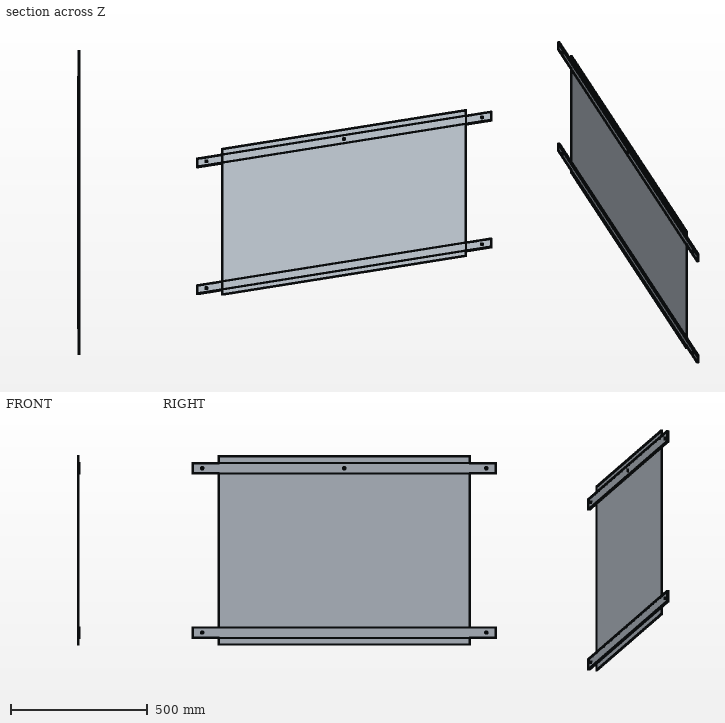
import cadquery as cq

total_thickness = 6.35
strip_length = 1109.37
panel_height = 690.27

panel_thickness = 1.5875
strip_overhang = 95.25
panel_length = strip_length - 2 * strip_overhang

strip_thickness = total_thickness - panel_thickness
strip_height = 38.1
strip_inset = 44.45
strip_center_z = panel_height / 2 - strip_inset
strip_centers_z = (-strip_center_z, strip_center_z)

hole_diameter = 6.35
hole_end_distance = 34.925
end_hole_y = strip_length / 2 - hole_end_distance


def plate(thickness, length, height, x_start, z_center):
    """Upright rectangular plate centred on Y, growing toward +X from x_start."""
    return (
        cq.Workplane("XY")
        .box(thickness, length, height, centered=(False, True, True))
        .translate((x_start, 0, z_center))
    )


def through_hole(y, z):
    """Cylinder along X that passes through the full thickness."""
    return (
        cq.Workplane("YZ")
        .center(y, z)
        .circle(hole_diameter / 2)
        .extrude(total_thickness)
    )


result = plate(panel_thickness, panel_length, panel_height, 0, 0)
for strip_z in strip_centers_z:
    strip = plate(strip_thickness, strip_length, strip_height, panel_thickness, strip_z)
    result = result.union(strip)

for strip_z in strip_centers_z:
    for hole_y in (-end_hole_y, end_hole_y):
        result = result.cut(through_hole(hole_y, strip_z))

result = result.cut(through_hole(0, strip_center_z))